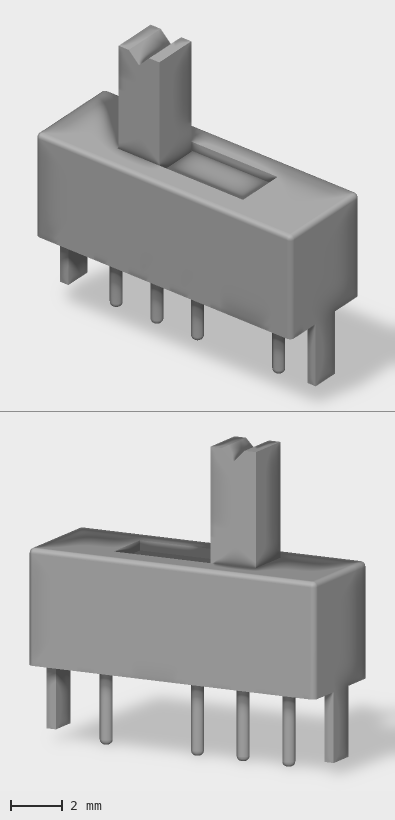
import cadquery as cq

body_length = 12.6
body_width = 4.3
body_height = 4.66
edge_radius = 0.2

slot_length = 6.2
slot_width = 2.17
slot_depth = 0.4

slider_size = 2.0
slider_rise = 4.61
notch_width = 1.01
notch_depth = notch_width / 2

pin_diameter = 0.5
pin_length = 3.33
pin_tip_radius = 0.2
pin_pitch = 2.0
pin_steps = (-2, -1, 0, 2)

tab_thickness = 0.4
tab_width = 1.2
tab_length = 2.82


def make_housing():
    housing = cq.Workplane("XY").box(body_length, body_width, body_height, centered=(True, True, False))
    housing = housing.edges("|Z or >Z").fillet(edge_radius)
    slot = (
        cq.Workplane("XY", origin=(0, 0, body_height - slot_depth))
        .box(slot_length, slot_width, slot_depth, centered=(True, True, False))
    )
    return housing.cut(slot)


def make_slider():
    """Square post standing on the slot floor, with a V notch across its top."""
    left = -slot_length / 2
    right = left + slider_size
    middle = (left + right) / 2
    bottom = body_height - slot_depth
    top = body_height + slider_rise
    profile = [
        (left, bottom),
        (right, bottom),
        (right, top),
        (middle + notch_width / 2, top),
        (middle, top - notch_depth),
        (middle - notch_width / 2, top),
        (left, top),
    ]
    return cq.Workplane("XZ").polyline(profile).close().extrude(slider_size / 2, both=True)


def make_pin(x):
    pin = cq.Workplane("XY").center(x, 0).circle(pin_diameter / 2).extrude(-pin_length)
    return pin.faces("<Z").edges().fillet(pin_tip_radius)


def make_tab(side):
    x = side * (body_length - tab_thickness) / 2
    return cq.Workplane("XY").center(x, 0).rect(tab_thickness, tab_width).extrude(-tab_length)


result = make_housing().union(make_slider())
for step in pin_steps:
    result = result.union(make_pin(step * pin_pitch))

for side in (-1, 1):
    result = result.union(make_tab(side))